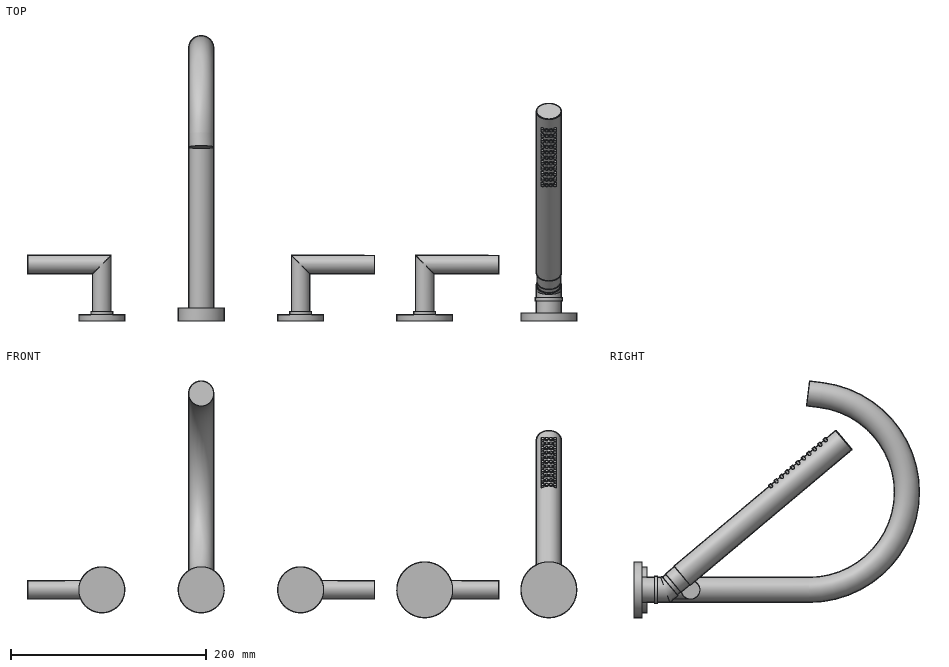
import cadquery as cq
import math


narrow_spacing = 101.5
wide_spacing = 127.0
left_handle_x = -narrow_spacing
middle_handle_x = narrow_spacing
right_handle_x = middle_handle_x + wide_spacing
shower_x = right_handle_x + wide_spacing

small_flange_radius = 23.5
large_flange_radius = 28.5

handle_flange_thickness = 7.0
handle_collar_radius = 11.0
handle_collar_height = 3.5
lever_radius = 9.5
lever_axis_y = 58.0
lever_reach = 76.0

spout_flange_thickness = 13.5
spout_radius = 13.0
riser_end_y = 179.0
bend_radius = 100.0
bend_angle = 173.0
outlet_length = 13.5

shower_flange_thickness = 8.5
shower_radius = 13.0
shower_tilt = 40.0
elbow_y = 32.0
wand_length = 239.0
wand_end_chamfer = 0.5
holder_ring_radius = 14.0
holder_ring_start_y = 21.0
holder_ring_height = 3.5
groove_radius = 12.0
groove_start = 6.0
groove_length = 4.5
neck_radius = 12.5
neck_length = 12.0

nozzle_rows = 11
nozzle_columns = 4
nozzle_row_pitch = 7.5
nozzle_column_pitch = 4.2
nozzle_radius = 1.5
nozzle_projection = 1.0
nozzle_inset = 14.5


def disc(x, start_y, radius, height):
    """Cylinder along +Y, centred on the fitting axis at the given x."""
    return cq.Workplane(cq.Solid.makeCylinder(radius, height, cq.Vector(x, start_y, 0), cq.Vector(0, 1, 0)))


def mounting_circle(x, radius):
    """Circle on the mounting face, ready to be swept."""
    return cq.Workplane("XZ", origin=(x, 0, 0)).circle(radius)


def make_handle(x, side, flange_radius):
    """Lever handle with a mitred corner; side is +1 or -1, the way the lever points along X."""
    flange = disc(x, 0, flange_radius, handle_flange_thickness)
    collar = disc(x, handle_flange_thickness, handle_collar_radius, handle_collar_height)
    path = cq.Workplane("XY").polyline(
        [(x, 0), (x, lever_axis_y), (x + side * lever_reach, lever_axis_y)]
    )
    lever = mounting_circle(x, lever_radius).sweep(path, transition="right")
    return lever.union(flange).union(collar)


def make_spout():
    """Tubular spout bent back toward the mounting face in the plane x = 0."""

    def bend_point(angle):
        turn = math.radians(angle)
        return (riser_end_y + bend_radius * math.sin(turn), bend_radius * (1 - math.cos(turn)))

    end_turn = math.radians(bend_angle)
    bend_end_y, bend_end_z = bend_point(bend_angle)
    outlet_end = (
        bend_end_y + outlet_length * math.cos(end_turn),
        bend_end_z + outlet_length * math.sin(end_turn),
    )
    path = (
        cq.Workplane("YZ")
        .lineTo(riser_end_y, 0)
        .threePointArc(bend_point(bend_angle / 2), (bend_end_y, bend_end_z))
        .lineTo(*outlet_end)
    )
    tube = mounting_circle(0, spout_radius).sweep(path)
    return tube.union(disc(0, 0, small_flange_radius, spout_flange_thickness))


def make_hand_shower(x):
    """Hand shower tilted up out of its holder, with a grid of spray nozzles near its end."""
    tilt = math.radians(shower_tilt)
    wand_direction = cq.Vector(0, math.cos(tilt), math.sin(tilt))
    spray_direction = cq.Vector(0, -math.sin(tilt), math.cos(tilt))
    elbow = cq.Vector(x, elbow_y, 0)
    wand_end = elbow + wand_direction * wand_length

    path = cq.Workplane("YZ", origin=(x, 0, 0)).polyline(
        [(0, 0), (elbow_y, 0), (wand_end.y, wand_end.z)]
    )
    shower = mounting_circle(x, shower_radius).sweep(path, transition="right")
    end_face = shower.faces(cq.selectors.NearestToPointSelector(wand_end.toTuple()))
    shower = end_face.chamfer(wand_end_chamfer)

    def turned_recess(start, length, core_radius):
        base = elbow + wand_direction * start
        blank = cq.Solid.makeCylinder(holder_ring_radius, length, base, wand_direction)
        core = cq.Solid.makeCylinder(core_radius, length, base, wand_direction)
        return cq.Workplane(blank.cut(core))

    shower = shower.cut(turned_recess(groove_start, groove_length, groove_radius))
    shower = shower.cut(turned_recess(groove_start + groove_length, neck_length, neck_radius))

    shower = shower.union(disc(x, 0, large_flange_radius, shower_flange_thickness))
    shower = shower.union(disc(x, holder_ring_start_y, holder_ring_radius, holder_ring_height))

    nozzle_height = shower_radius + nozzle_projection
    for row in range(nozzle_rows):
        along = wand_length - nozzle_inset - row * nozzle_row_pitch
        for column in range(nozzle_columns):
            across = (column - (nozzle_columns - 1) / 2) * nozzle_column_pitch
            foot = elbow + wand_direction * along + cq.Vector(across, 0, 0)
            nozzle = cq.Solid.makeCylinder(nozzle_radius, nozzle_height, foot, spray_direction)
            shower = shower.union(cq.Workplane(nozzle))
    return shower


spout = make_spout()
hand_shower = make_hand_shower(shower_x)
handles = [
    make_handle(x, side, flange_radius)
    for x, side, flange_radius in [
        (left_handle_x, -1, small_flange_radius),
        (middle_handle_x, 1, small_flange_radius),
        (right_handle_x, 1, large_flange_radius),
    ]
]

result = cq.Compound.makeCompound([spout.val(), hand_shower.val(), *[handle.val() for handle in handles]])